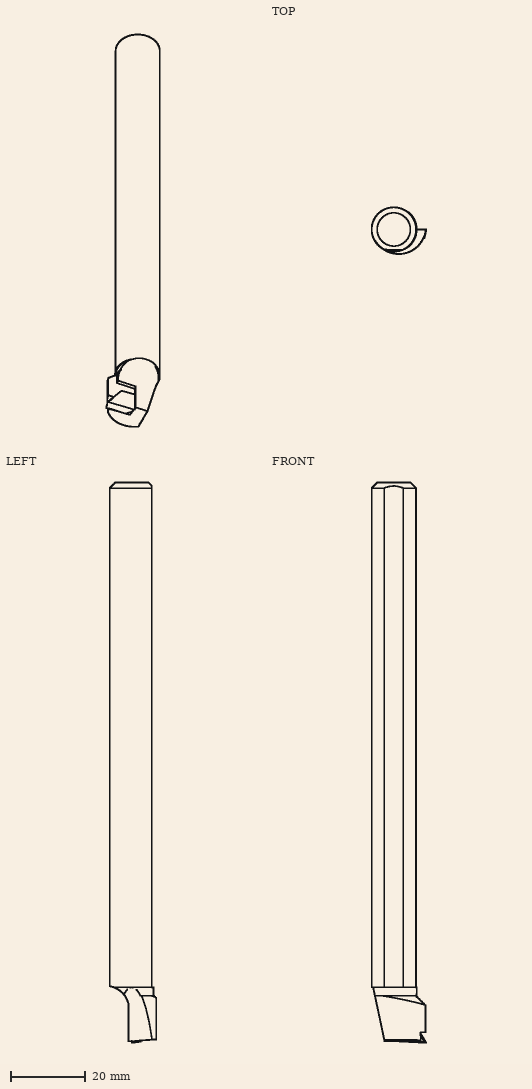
import cadquery as cq
import math

length = 151.2
shank_radius = 6.0
shank_bottom = 15.0
end_chamfer = 1.5
flat_y = -5.5

neck_radius = 5.9
neck_center_x = 0.3

head_center_x = 1.4
head_center_y = 0.6
head_radius = 7.3
head_bottom = 0.5
head_bottom_tilt = 4.0
cone_top = 12.7
relief_angle = 12.0
relief_top_x = -5.6

rake_y = 0.9
rake_top = 10.5
runout_mid = (2.1, 13.0)
runout_top = 15.3

tip_x = 8.82
insert_top_y = 0.0
insert_edge = 7.7
insert_thickness = 2.4
insert_angle = 55.0
lead_angle = 3.0
clearance_angle = 7.0

pocket_left = 0.9
pocket_top = 9.0
tip_relief_x = 7.3
tip_relief_top = 2.9

margin = 15.1


def block(x0, x1, y0, y1, z0, z1):
    """Box between two opposite corners."""
    return cq.Workplane("XY").box(x1 - x0, y1 - y0, z1 - z0, centered=False).translate((x0, y0, z0))


def make_shank():
    """Round bar with a chamfered top end and one clamping flat."""
    bar = cq.Workplane("XY").workplane(offset=shank_bottom).circle(shank_radius)
    bar = bar.extrude(length - shank_bottom).faces(">Z").chamfer(end_chamfer)
    return bar.cut(block(-margin, margin, -margin, flat_y, shank_bottom, length))


def neck_cylinder(bottom, top):
    """Stretch of the neck, a cylinder slightly offset from the shank."""
    disc = cq.Workplane("XY").workplane(offset=bottom).center(neck_center_x, 0).circle(neck_radius)
    return disc.extrude(top - bottom)


def make_head_blank():
    """Eccentric cylinder under a cone, with the neck on top of it."""
    pad = cq.Workplane("XY").center(head_center_x, head_center_y).circle(head_radius).extrude(cone_top)
    cone = cq.Workplane("XZ").polyline([
        (0, 0), (shank_radius + cone_top, 0), (shank_radius, cone_top), (0, cone_top),
    ]).close().revolve(360, (0, 0), (0, 1))
    pad = pad.intersect(cone)
    behind = pad.cut(block(-margin, margin, insert_top_y, margin, 0, cone_top))
    within_neck = pad.intersect(neck_cylinder(0, cone_top))
    return behind.union(within_neck).union(neck_cylinder(cone_top, shank_bottom))


def rake_cutter():
    """Removes the +Y half of the head, curving out to the shank surface."""
    profile = cq.Workplane("YZ").moveTo(rake_y, -margin).lineTo(rake_y, rake_top)
    profile = profile.threePointArc(runout_mid, (shank_radius, runout_top))
    profile = profile.lineTo(margin, runout_top).lineTo(margin, -margin).close()
    return profile.extrude(margin, both=True)


def relief_cutter():
    """Removes the -X side of the head along the sloping flank."""
    drop = shank_bottom + margin
    bottom_x = relief_top_x + drop * math.tan(math.radians(relief_angle))
    outline = [(relief_top_x, shank_bottom), (bottom_x, -margin), (-margin, -margin), (-margin, shank_bottom)]
    return cq.Workplane("XZ").polyline(outline).close().extrude(margin, both=True)


def bottom_cutter():
    """Removes everything below the tilted bottom face of the head."""
    below = block(-margin, margin, -margin, margin, -margin, 0)
    return below.rotate((0, 0, 0), (1, 0, 0), -head_bottom_tilt).translate((0, 0, head_bottom))


def make_insert():
    """Rhombic cutting insert, tapering away from its top face."""
    lower = math.radians(180 - lead_angle)
    upper = math.radians(180 - lead_angle - insert_angle)
    ax, az = insert_edge * math.cos(lower), insert_edge * math.sin(lower)
    bx, bz = insert_edge * math.cos(upper), insert_edge * math.sin(upper)
    corners = [(tip_x, 0), (tip_x + ax, az), (tip_x + ax + bx, az + bz), (tip_x + bx, bz)]
    plane = cq.Workplane("XZ", origin=(0, insert_top_y, 0))
    return plane.polyline(corners).close().extrude(insert_thickness, taper=clearance_angle)


def make_holder(insert):
    """Shank and head in one piece, with a seat that matches the insert."""
    head = make_head_blank()
    head = head.cut(rake_cutter()).cut(relief_cutter()).cut(bottom_cutter())
    head = head.cut(block(pocket_left, margin, insert_top_y, margin, 0, pocket_top))
    head = head.cut(block(tip_relief_x, margin, -margin, margin, 0, tip_relief_top))
    shank = make_shank().cut(rake_cutter())
    return shank.union(head).cut(insert).solids()


insert = make_insert()
holder = make_holder(insert)

result = cq.Compound.makeCompound([holder.val(), insert.val()])